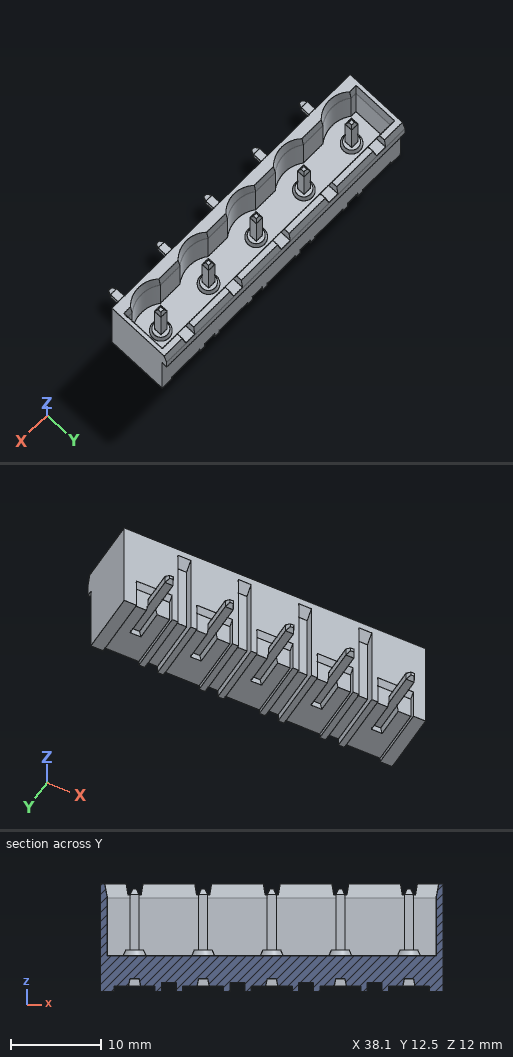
import cadquery as cq

POLES = 5
PITCH = 7.62
LENGTH = POLES * PITCH
POLE_CENTRES = [(i - (POLES - 1) / 2) * PITCH for i in range(POLES)]
POLE_BOUNDARIES = [(i - POLES / 2) * PITCH for i in range(1, POLES)]

HEIGHT = 12.0
DEPTH = 7.8
LIP = 0.7
LIP_BOTTOM = 9.0
LIP_CHAMFER = 0.4
LIP_CHAMFER_HEIGHT = 1.35
BACK = DEPTH + LIP

CAVITY_FLOOR = 4.0
LEAD_IN_HEIGHT = 1.6
LEAD_IN_BOTTOM = HEIGHT - LEAD_IN_HEIGHT
END_WALL = 0.8
END_WALL_RIM = 0.5
FRONT_WALL = 1.65
FRONT_WALL_RIM = 1.4
BACK_WALL = 1.55
BACK_WALL_RIM = 1.15
SCALLOP_WALL = 0.9
SCALLOP_WALL_RIM = 0.47
SCALLOP_WIDTH = 4.5
SCALLOP_WIDTH_RIM = 4.55

NOTCH_DEPTH = 1.25
NOTCH_WIDTH = 1.42
NOTCH_WIDTH_RIM = 1.83

SLOT_WIDTH = 1.6
SLOT_TOP = 11.0
SLOT_DEPTH = 1.0
SLOT_FLOOR = 1.0

POCKET_WIDTH = 4.5
POCKET_TOP = 4.0
POCKET_DEPTH = 0.6
POCKET_FLOOR = 0.57

PIN = 1.0
PIN_Y = 3.9
PIN_Z = 1.9
PIN_TOP = 11.4
PIN_REACH = 4.0
TIP_LENGTH = 0.6
TIP_WIDTH = 0.45

BOSS_RADIUS = 1.26
BOSS_TOP_RADIUS = 1.0
BOSS_HEIGHT = 0.6
GROOVE_WIDTH = 1.35


def box(x, y, z):
    """Box spanning the given (low, high) ranges."""
    size = [high - low for low, high in (x, y, z)]
    return cq.Workplane("XY").box(*size, centered=False).translate((x[0], y[0], z[0]))


def extrude_along_x(points, x, width):
    """Extrude a (y, z) profile symmetrically about the plane at x."""
    return cq.Workplane("YZ", origin=(x, 0, 0)).polyline(points).close().extrude(width / 2, both=True)


def make_housing():
    profile = [
        (0, 0),
        (DEPTH, 0),
        (DEPTH, LIP_BOTTOM),
        (BACK, LIP_BOTTOM),
        (BACK, HEIGHT - LIP_CHAMFER_HEIGHT),
        (BACK - LIP_CHAMFER, HEIGHT),
        (0, HEIGHT),
    ]
    return extrude_along_x(profile, 0, LENGTH)


def cavity_outline(plane, end_wall, front_wall, back_wall, scallop_wall, scallop_width):
    """Rectangle whose front side bulges out in an arc at every pole."""
    half_length = LENGTH / 2 - end_wall
    back = BACK - back_wall
    outline = plane.moveTo(-half_length, back).lineTo(-half_length, front_wall)
    for x in POLE_CENTRES:
        outline = outline.lineTo(x - scallop_width / 2, front_wall)
        outline = outline.threePointArc((x, scallop_wall), (x + scallop_width / 2, front_wall))
    return outline.lineTo(half_length, front_wall).lineTo(half_length, back).close()


def make_cavity():
    lower = (END_WALL, FRONT_WALL, BACK_WALL, SCALLOP_WALL, SCALLOP_WIDTH)
    rim = (END_WALL_RIM, FRONT_WALL_RIM, BACK_WALL_RIM, SCALLOP_WALL_RIM, SCALLOP_WIDTH_RIM)
    floor_plane = cq.Workplane("XY").workplane(offset=CAVITY_FLOOR)
    straight = cavity_outline(floor_plane, *lower).extrude(LEAD_IN_BOTTOM - CAVITY_FLOOR)
    lead_in = cavity_outline(cq.Workplane("XY").workplane(offset=LEAD_IN_BOTTOM), *lower)
    lead_in = cavity_outline(lead_in.workplane(offset=LEAD_IN_HEIGHT), *rim).loft(ruled=True)
    return straight.union(lead_in)


def make_notch(x):
    """Trapezoidal notch through the back wall, wider at the rim."""
    profile = [
        (x - NOTCH_WIDTH / 2, HEIGHT - NOTCH_DEPTH),
        (x + NOTCH_WIDTH / 2, HEIGHT - NOTCH_DEPTH),
        (x + NOTCH_WIDTH_RIM / 2, HEIGHT),
        (x - NOTCH_WIDTH_RIM / 2, HEIGHT),
    ]
    plane = cq.Workplane("XZ", origin=(0, BACK, 0))
    return plane.polyline(profile).close().extrude(BACK_WALL)


def make_front_recess(x, width, top, depth, floor):
    """Recess in the front face with a 45 degree ceiling, plus a passage below the floor to the back."""
    profile = [
        (0, 0),
        (DEPTH, 0),
        (DEPTH, floor),
        (depth, floor),
        (depth, top - depth),
        (0, top),
    ]
    return extrude_along_x(profile, x, width)


def make_pin_boss(x):
    plane = cq.Workplane("XY", origin=(x, PIN_Y, CAVITY_FLOOR))
    boss = plane.circle(BOSS_RADIUS).workplane(offset=BOSS_HEIGHT)
    return boss.circle(BOSS_TOP_RADIUS).loft(ruled=True)


def make_groove(x):
    """Groove below the solder pin, flaring from the pin width to the underside."""
    profile = [
        (x - GROOVE_WIDTH / 2, POCKET_FLOOR),
        (x + GROOVE_WIDTH / 2, POCKET_FLOOR),
        (x + PIN / 2, PIN_Z - PIN / 2),
        (x - PIN / 2, PIN_Z - PIN / 2),
    ]
    return cq.Workplane("XZ").polyline(profile).close().extrude(-(PIN_Y + PIN / 2))


def make_tip(plane):
    """Tapered pin end standing on the given workplane."""
    return plane.rect(PIN, PIN).workplane(offset=TIP_LENGTH).rect(TIP_WIDTH, TIP_WIDTH).loft(ruled=True)


def make_pin(x):
    half = PIN / 2
    contact_shoulder = PIN_TOP - TIP_LENGTH
    solder_shoulder = -PIN_REACH + TIP_LENGTH
    sides = (x - half, x + half)
    contact = box(sides, (PIN_Y - half, PIN_Y + half), (PIN_Z - half, contact_shoulder))
    solder = box(sides, (solder_shoulder, PIN_Y + half), (PIN_Z - half, PIN_Z + half))
    contact_tip = make_tip(cq.Workplane("XY", origin=(x, PIN_Y, contact_shoulder)))
    solder_tip = make_tip(cq.Workplane("XZ", origin=(x, solder_shoulder, PIN_Z)))
    return contact.union(solder).union(contact_tip).union(solder_tip)


result = make_housing().cut(make_cavity())
for boundary in POLE_BOUNDARIES:
    result = result.cut(make_front_recess(boundary, SLOT_WIDTH, SLOT_TOP, SLOT_DEPTH, SLOT_FLOOR))
for pole in POLE_CENTRES:
    result = result.cut(make_notch(pole))
    result = result.cut(make_front_recess(pole, POCKET_WIDTH, POCKET_TOP, POCKET_DEPTH, POCKET_FLOOR))
    result = result.union(make_pin_boss(pole))
    result = result.cut(make_groove(pole))
    result = result.union(make_pin(pole))